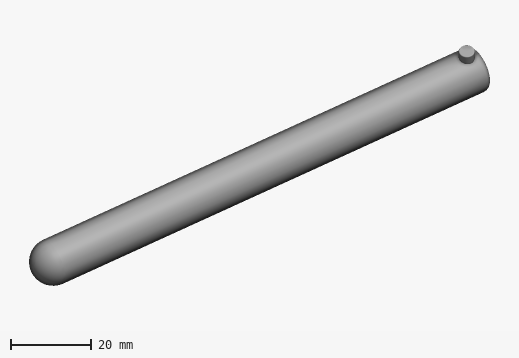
import cadquery as cq
import math

rod_diameter = 12.0
rod_length = 130.0
end_fillet = 2.0

pin_diameter = 4.0
pin_height = 2.5
pin_end_distance = 4.0
pin_fillet = 0.25

rod_radius = rod_diameter / 2


def make_rod():
    """Round rod with its nose tip at the origin and its axis along +Y."""
    nose_mid = rod_radius * math.sqrt(0.5)
    rim_mid = end_fillet * math.sqrt(0.5)
    profile = (
        cq.Workplane("YZ")
        .moveTo(0, 0)
        .threePointArc((rod_radius - nose_mid, nose_mid), (rod_radius, rod_radius))
        .lineTo(rod_length - end_fillet, rod_radius)
        .threePointArc(
            (rod_length - end_fillet + rim_mid, rod_radius - end_fillet + rim_mid),
            (rod_length, rod_radius - end_fillet),
        )
        .lineTo(rod_length, 0)
        .close()
    )
    return profile.revolve(360, (0, 0, 0), (1, 0, 0))


def make_pin():
    """Vertical pin from the rod axis upwards, with a rounded top rim."""
    pin = (
        cq.Workplane("XY")
        .center(0, rod_length - pin_end_distance)
        .circle(pin_diameter / 2)
        .extrude(rod_radius + pin_height)
    )
    return pin.faces(">Z").edges().fillet(pin_fillet)


result = make_rod().union(make_pin())